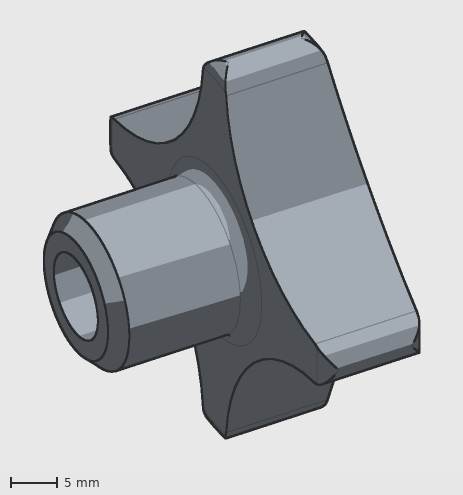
import cadquery as cq
import math

head_radius = 25.0
head_height = 14.9
arm_end_height = 12.5
arm_end_radius = 22.8
arm_half_width = 2.65
scallop_depth_point = 9.05
tip_edge_radius = 1.7

hub_radius = 9.0
hub_length = 17.0
hub_chamfer = 1.7
hub_fillet = 1.7
bore_radius = 5.0

dome_center = (
    head_height**2 + bore_radius**2 - arm_end_height**2 - arm_end_radius**2
) / (2 * (head_height - arm_end_height))
dome_radius = math.hypot(bore_radius, head_height - dome_center)


def dome_height(radius):
    """Y of the dome at a distance from the axis."""
    return dome_center + math.sqrt(dome_radius**2 - radius**2)


def turned(x, z, quarter_turns):
    """Point turned about the axis by quarter turns."""
    for _ in range(quarter_turns):
        x, z = z, -x
    return x, z


def star_prism():
    """Star outline in XZ, extruded from Y = 0 to the top of the dome."""
    outline = cq.Workplane("XZ").moveTo(arm_half_width, arm_end_radius)

    for arm in range(4):
        outline = outline.threePointArc(
            turned(scallop_depth_point, scallop_depth_point, arm),
            turned(arm_end_radius, arm_half_width, arm),
        ).threePointArc(
            turned(head_radius, 0, arm),
            turned(arm_end_radius, -arm_half_width, arm),
        )
    return outline.close().extrude(-dome_height(0))


def domed_disc():
    """Revolved envelope that domes the head and rounds the arm tips."""
    return (
        cq.Workplane("XY")
        .lineTo(head_radius, 0)
        .lineTo(head_radius, dome_height(head_radius))
        .threePointArc(
            (head_radius / 2, dome_height(head_radius / 2)), (0, dome_height(0))
        )
        .close()
        .revolve(360, (0, 0), (0, 1))
        .edges("%CIRCLE")
        .fillet(tip_edge_radius)
    )


def hub():
    """Chamfered hub with a concave fillet where it joins the head."""
    fillet_middle = hub_fillet * (1 - math.sqrt(0.5))
    embed = head_height / 2
    return (
        cq.Workplane("XY")
        .moveTo(0, embed)
        .lineTo(hub_radius, embed)
        .lineTo(hub_radius + hub_fillet, 0)
        .threePointArc(
            (hub_radius + fillet_middle, -fillet_middle), (hub_radius, -hub_fillet)
        )
        .lineTo(hub_radius, hub_chamfer - hub_length)
        .lineTo(hub_radius - hub_chamfer, -hub_length)
        .lineTo(0, -hub_length)
        .close()
        .revolve(360, (0, 0), (0, 1))
    )


bore = (
    cq.Workplane("XZ", origin=(0, -hub_length, 0))
    .circle(bore_radius)
    .extrude(-(hub_length + dome_height(0)))
)

result = star_prism().intersect(domed_disc()).union(hub()).cut(bore)